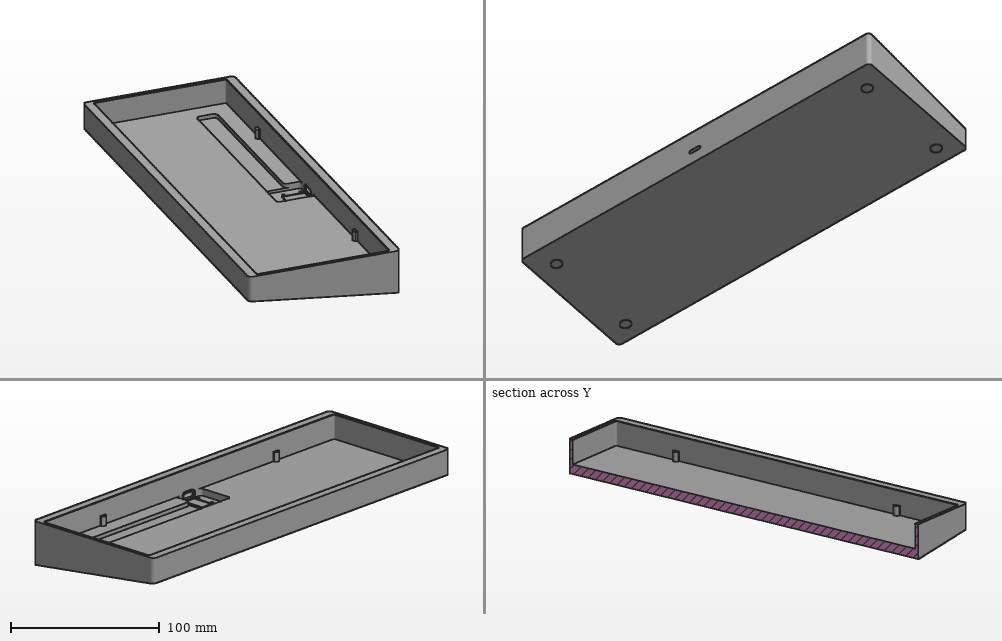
import cadquery as cq
import math

length = 293.7
width = 110.2
rear_height = 31.61
bottom_angle = 6.9
outer_corner_radius = 3.0
front_height = rear_height - width * math.tan(math.radians(bottom_angle))

side_wall = 3.0
end_wall = 7.0
cavity_depth = 17.7
cavity_corner_radius = 1.0
rim_chamfer = 0.3
cavity_length = length - 2 * side_wall
cavity_width = width - 2 * end_wall
cavity_half_width = cavity_width / 2
floor_z = rear_height - cavity_depth

lug_width = 4.8
lug_straight = 1.2
lug_tip_radius = 2.3
lug_height = 6.8
rear_lug_offset = 85.8
front_lug_offset = 92.9

pocket_length = 24.0
pocket_depth = 5.0
pocket_corner_radius = 2.0
pocket_front_y = 21.0
pocket_floor_z = floor_z - pocket_depth

channel_left_x = -131.4
channel_rear_y = 36.0
channel_depth = 3.0
channel_corner_radius = 3.0

recess_length = 9.8
recess_front_y = 31.4
recess_depth = 0.5

screw_diameter = 1.6
screw_depth = 3.0
screw_offset_x = 6.8
screw_rows_y = (33.3, 45.7)

port_length = 9.2
port_height = 3.4
port_center_z = 12.1
port_recess_length = 12.4
port_recess_height = 6.4
port_recess_depth = 0.8

foot_diameter = 8.0
foot_depth = 0.5
foot_offset_x = 130.7
foot_rows_y = (-41.4, 36.0)


def box_between(x_min, x_max, y_min, y_max, z_min, z_max):
    size = (x_max - x_min, y_max - y_min, z_max - z_min)
    return cq.Workplane("XY").box(*size, centered=False).translate((x_min, y_min, z_min))


def make_body():
    half_width = width / 2
    profile = [
        (-half_width, rear_height - front_height),
        (half_width, 0),
        (half_width, rear_height),
        (-half_width, rear_height),
    ]
    body = cq.Workplane("YZ").polyline(profile).close().extrude(length / 2, both=True)
    return body.edges("|Z").fillet(outer_corner_radius)


def make_cavity():
    cavity = cq.Workplane("XY").workplane(offset=floor_z).rect(cavity_length, cavity_width)
    return cavity.extrude(cavity_depth).edges("|Z").fillet(cavity_corner_radius)


def make_rim_chamfer():
    chamfer_start = cq.Workplane("XY").workplane(offset=rear_height - rim_chamfer)
    return (
        chamfer_start.sketch()
        .rect(cavity_length, cavity_width)
        .vertices()
        .fillet(cavity_corner_radius)
        .finalize()
        .extrude(rim_chamfer, taper=-45)
    )


def make_lug(x, side):
    wall_y = side * cavity_half_width
    half = lug_width / 2
    shoulder_y = wall_y - side * lug_straight
    tip_y = shoulder_y - side * half
    lug = (
        cq.Workplane("XY")
        .workplane(offset=floor_z)
        .moveTo(x - half, wall_y)
        .lineTo(x - half, shoulder_y)
        .lineTo(x, tip_y)
        .lineTo(x + half, shoulder_y)
        .lineTo(x + half, wall_y)
        .close()
        .extrude(lug_height)
    )
    tip_edge = "|Z and <Y" if side > 0 else "|Z and >Y"
    return lug.edges(tip_edge).fillet(lug_tip_radius)


def make_pocket():
    half = pocket_length / 2
    pocket = box_between(-half, half, pocket_front_y, cavity_half_width, pocket_floor_z, floor_z)
    return pocket.edges("|Z").fillet(pocket_corner_radius)


def make_channel():
    r = channel_corner_radius
    join_x = -pocket_length / 2
    channel = box_between(
        channel_left_x, 0, pocket_front_y, channel_rear_y, floor_z - channel_depth, floor_z
    )
    channel = channel.edges("|Z and <X").fillet(r)
    flare = (
        cq.Workplane("XY")
        .workplane(offset=floor_z - channel_depth)
        .moveTo(join_x - r, channel_rear_y)
        .radiusArc((join_x, channel_rear_y + r), -r)
        .lineTo(join_x, channel_rear_y)
        .close()
        .extrude(channel_depth)
    )
    return channel.union(flare)


def make_slot(slot_length, slot_height, slot_depth):
    plane = cq.Workplane("XZ", origin=(0, cavity_half_width, port_center_z))
    return plane.slot2D(slot_length, slot_height).extrude(-slot_depth)


def make_connector_cuts():
    half = recess_length / 2
    recess = box_between(
        -half, half, recess_front_y, cavity_half_width, pocket_floor_z - recess_depth, pocket_floor_z
    )
    port = make_slot(port_length, port_height, end_wall)
    port = port.union(make_slot(port_recess_length, port_recess_height, port_recess_depth))
    points = [(side * screw_offset_x, y) for side in (-1, 1) for y in screw_rows_y]
    screws = cq.Workplane("XY").workplane(offset=pocket_floor_z).pushPoints(points)
    screws = screws.circle(screw_diameter / 2).extrude(-screw_depth)
    return recess.union(port).union(screws)


def make_foot(x, y):
    slope = math.tan(math.radians(bottom_angle))
    z = (width / 2 - y) * slope
    foot = cq.Workplane("XY").circle(foot_diameter / 2).extrude(foot_depth)
    return foot.rotate((0, 0, 0), (1, 0, 0), -bottom_angle).translate((x, y, z))


result = make_body().cut(make_cavity()).cut(make_rim_chamfer())
for side in (-1, 1):
    result = result.union(make_lug(side * rear_lug_offset, 1))
    result = result.union(make_lug(side * front_lug_offset, -1))
result = result.cut(make_pocket()).cut(make_channel()).cut(make_connector_cuts())
for y in foot_rows_y:
    for side in (-1, 1):
        result = result.cut(make_foot(side * foot_offset_x, y))